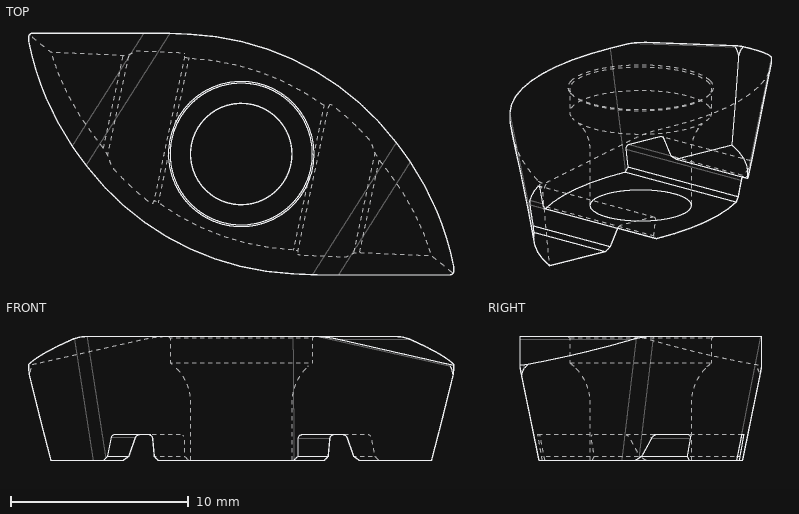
import cadquery as cq
import math

length = 23.95
width = 13.63
height = 7.0
reach = 2 * length

relief_angle = 11.0
flank_tilt = 2.5
main_radius = 15.48
straight_start = (2.92, -6.75)
main_arc_end_angle = 217.5
blend_length = 1.2
tip_x = 12.45
tip_round = 0.25

facet_angle = 15.0
crease_angle = 57.6
crease_distance = 7.67
crease_width = 1.27
crease_half_width = crease_width / 2

bore_radius = 2.85
head_radius = 4.0
rim_radius = 4.1
rim_depth = 0.1
head_depth = 1.49
seat_end_depth = 3.75

channel_turn = 12.0
channel_depth = 1.45
channel_inner = 4.25
channel_outer = 7.43
inner_draft = 3.0
outer_draft = 17.0
channel_roof_round = 0.25
channel_lip = 0.25


def turned(point):
    """Rotate a plan point half a turn about the hole axis."""
    return (-point[0], -point[1])


def make_blank():
    tilt = math.radians(flank_tilt)
    start_x, start_y = straight_start
    tip = (tip_x, start_y - (tip_x - start_x) * math.tan(tilt))
    centre = (start_x + main_radius * math.sin(tilt), start_y + main_radius * math.cos(tilt))

    def on_main_arc(degrees):
        angle = math.radians(degrees)
        return (centre[0] + main_radius * math.cos(angle), centre[1] + main_radius * math.sin(angle))

    straight_angle = 270 - flank_tilt
    middle = on_main_arc((straight_angle + main_arc_end_angle) / 2)
    arc_end = on_main_arc(main_arc_end_angle)
    blend_angle = math.radians(main_arc_end_angle - 90)
    tip_arc_start = (
        arc_end[0] + blend_length * math.cos(blend_angle),
        arc_end[1] + blend_length * math.sin(blend_angle),
    )
    outline = (
        cq.Workplane("XY", origin=(0, 0, height))
        .moveTo(*tip)
        .lineTo(*straight_start)
        .threePointArc(middle, arc_end)
        .lineTo(*tip_arc_start)
        .tangentArcPoint(turned(tip), relative=False)
        .lineTo(*turned(straight_start))
        .threePointArc(turned(middle), turned(arc_end))
        .lineTo(*turned(tip_arc_start))
        .tangentArcPoint(tip, relative=False)
        .close()
    )
    return outline.extrude(-height, taper=relief_angle)


def make_crown():
    """Roof-shaped body whose top is flat between two sloping facets."""
    slope = math.radians(facet_angle)
    flat_end = crease_distance - crease_half_width
    bend_x = crease_distance + crease_half_width * math.cos(slope)
    bend_z = height - crease_half_width * math.sin(slope)
    edge_z = height - (length - crease_distance) * math.tan(slope)
    profile = (
        cq.Workplane("XZ")
        .moveTo(-flat_end, height)
        .lineTo(flat_end, height)
        .tangentArcPoint((bend_x, bend_z), relative=False)
        .lineTo(length, edge_z)
        .lineTo(length, -height)
        .lineTo(-length, -height)
        .lineTo(-length, edge_z)
        .lineTo(-bend_x, bend_z)
        .tangentArcPoint((-flat_end, height), relative=False)
        .close()
    )
    return profile.extrude(reach / 2, both=True).rotate((0, 0, 0), (0, 0, 1), crease_angle - 90)


def make_hole():
    seat_height = seat_end_depth - head_depth
    seat_step = head_radius - bore_radius
    seat_radius = (seat_height**2 + seat_step**2) / (2 * seat_step)
    half_angle = math.asin(seat_height / seat_radius) / 2
    seat_middle = (
        bore_radius + seat_radius * (1 - math.cos(half_angle)),
        height - seat_end_depth + seat_radius * math.sin(half_angle),
    )
    profile = (
        cq.Workplane("XZ")
        .moveTo(0, height)
        .lineTo(rim_radius, height)
        .lineTo(head_radius, height - rim_depth)
        .lineTo(head_radius, height - head_depth)
        .threePointArc(seat_middle, (bore_radius, height - seat_end_depth))
        .lineTo(bore_radius, 0)
        .lineTo(0, 0)
        .close()
    )
    return profile.revolve(360, (0, 0, 0), (0, 1, 0))


def make_channel():
    """Channel on the +X side, with chamfered lips and a rounded roof."""
    inner_run = math.tan(math.radians(inner_draft))
    outer_run = math.tan(math.radians(outer_draft))
    profile = (
        cq.Workplane("XZ")
        .moveTo(channel_inner - channel_lip, 0)
        .lineTo(channel_inner + channel_lip * inner_run, channel_lip)
        .lineTo(channel_inner + channel_depth * inner_run, channel_depth)
        .lineTo(channel_outer - channel_depth * outer_run, channel_depth)
        .lineTo(channel_outer - channel_lip * outer_run, channel_lip)
        .lineTo(channel_outer + channel_lip, 0)
        .close()
    )
    channel = profile.extrude(reach / 2, both=True)
    channel = channel.faces(">Z").edges("|Y").fillet(channel_roof_round)
    return channel.rotate((0, 0, 0), (0, 0, 1), -channel_turn)


def make_envelope():
    """Trims the straight flanks upright near the top and rounds the tips."""
    box = cq.Workplane("XY").box(length, width, height, centered=(True, True, False))
    tip_edges = box.edges("|Z and ((<X and >Y) or (>X and <Y))")
    return tip_edges.fillet(tip_round)


body = make_blank().intersect(make_crown()).intersect(make_envelope())
body = body.cut(make_hole())
channel = make_channel()
for turn in (0, 180):
    body = body.cut(channel.rotate((0, 0, 0), (0, 0, 1), turn))

result = body